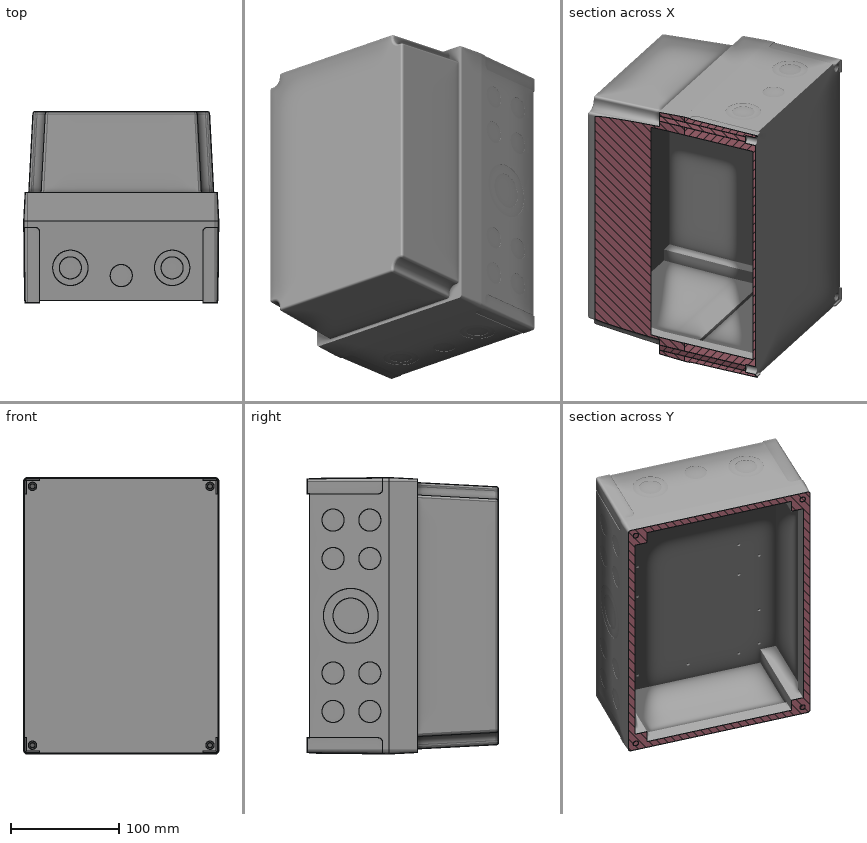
import cadquery as cq
import math

WIDTH = 180.0
HEIGHT = 255.0
DEPTH = 176.5
WALL = 3.0
CORNER_RADIUS = 3.5

BACK_Y = 2.0
JOINT_Y = 75.8
BASE_DRAFT = 0.63

FOOT_LENGTH_X = 14.8
FOOT_LENGTH_Z = 15.0
FOOT_TOP_Y = 69.6
FOOT_RECESS = 0.5
FOOT_LIP = 1.5
FOOT_ROUND = 4.0

COLLAR_Y = 102.0
LID_DRAFT = 3.0
DOME_STEP = 3.3
NOTCH_SIZE = 11.5
NOTCH_FILLET = 7.7
NOTCH_EDGE_FILLET = 2.3
FRONT_FILLET = 2.3

SCREW_X = 82.0
SCREW_Z = 119.5
SCREW_RADIUS = 2.3
COUNTERBORE_RADIUS = 3.8
COUNTERBORE_DEPTH = 10.2

SMALL_KNOCKOUT = 10.2
MEDIUM_KNOCKOUT = 16.3
LARGE_KNOCKOUT = 25.3
KNOCKOUT_DEPTH = 0.3
END_PAIR_X = 47.0
END_PAIR_Y = 32.5
END_SINGLE_Y = 25.3
SIDE_ROWS_Y = (24.0, 58.0)
SIDE_COLUMNS_Z = (52.8, 88.3)
SIDE_LARGE_Y = 40.3

FIXING_RADIUS = 1.5
FIXING_SKIN = 1.0
FIXING_INNER_X = 49.7
FIXING_INNER_Z = (17.0, 107.7)
FIXING_OUTER_X = 69.6
FIXING_OUTER_Z = (0.0, 62.8, 101.0)
FIXING_MIDDLE_Z = 107.5

HALF_X = WIDTH / 2
HALF_Z = HEIGHT / 2
BACK_INSET = JOINT_Y * math.tan(math.radians(BASE_DRAFT))
LID_SLOPE = math.tan(math.radians(LID_DRAFT))
DOME_HEIGHT = DEPTH - COLLAR_Y
DOME_INSET = LID_SLOPE * (COLLAR_Y - JOINT_Y) + DOME_STEP
DOME_X = HALF_X - DOME_INSET
DOME_Z = HALF_Z - DOME_INSET
FRONT_SHRINK = LID_SLOPE * DOME_HEIGHT
NOTCH_X = DOME_X - NOTCH_SIZE
NOTCH_Z = DOME_Z - NOTCH_SIZE
MARGIN = 2.5

SIDES = (-1, 1)
CORNERS = [(side_x, side_z) for side_x in SIDES for side_z in SIDES]


def drafted_block(y_start, y_end, half_x, half_z, draft):
    """Rectangular block from y_start to y_end that gets smaller with the draft."""
    direction = 1 if y_end > y_start else -1
    plane = cq.Plane((0, y_start, 0), xDir=(1, 0, 0), normal=(0, direction, 0))
    return cq.Workplane(plane).rect(2 * half_x, 2 * half_z).extrude(abs(y_end - y_start), taper=draft)


def rounded_block(y_start, y_end, inset, draft):
    """Drafted block with the enclosure's outline and round corners, moved in by the inset."""
    direction = 1 if y_end > y_start else -1
    plane = cq.Plane((0, y_start, 0), xDir=(1, 0, 0), normal=(0, direction, 0))
    outline = cq.Sketch().rect(WIDTH - 2 * inset, HEIGHT - 2 * inset).vertices().fillet(CORNER_RADIUS - inset)
    return cq.Workplane(plane).placeSketch(outline).extrude(abs(y_end - y_start), taper=draft)


def box_between(x_range, y_range, z_range):
    """Box that spans three (low, high) ranges."""
    sizes = [high - low for low, high in (x_range, y_range, z_range)]
    return cq.Workplane("XY").box(*sizes, centered=False).translate((x_range[0], y_range[0], z_range[0]))


def cylinder(radius, start, direction, length):
    solid = cq.Solid.makeCylinder(radius, length, cq.Vector(*start), cq.Vector(*direction))
    return cq.Workplane(solid)


def corner_copies(shape):
    """The shape at the (+X, +Z) corner and its mirror images at the other three."""
    pair = [shape, shape.mirror("YZ")]
    return pair + [half.mirror("XY") for half in pair]


def wall_skin(depth):
    """Outer layer of the base's side walls down to the depth."""
    return rounded_block(JOINT_Y, 0, 0, BASE_DRAFT).cut(rounded_block(JOINT_Y, 0, depth, BASE_DRAFT))


def cut_back(base):
    """Lower the back to BACK_Y and leave only an L-shaped lip at each corner."""
    y_range = (-MARGIN, BACK_Y)
    foot_x = HALF_X - FOOT_LENGTH_X
    foot_z = HALF_Z - FOOT_LENGTH_Z
    lip_inset = BACK_INSET + FOOT_RECESS + FOOT_LIP
    lip_x = HALF_X - lip_inset
    lip_z = HALF_Z - lip_inset
    for half_x, half_z in ((lip_x, lip_z), (foot_x, HALF_Z), (HALF_X, foot_z)):
        base = base.cut(box_between((-half_x, half_x), y_range, (-half_z, half_z)))
    return base


def cut_foot_pads(base):
    """Sink the skin of each corner, with a round at the end of each pad."""
    skin = wall_skin(FOOT_RECESS)
    pad = box_between(
        (HALF_X - FOOT_LENGTH_X, HALF_X + MARGIN),
        (-MARGIN, FOOT_TOP_Y),
        (HALF_Z - FOOT_LENGTH_Z, HALF_Z + MARGIN),
    )
    pad = pad.faces(">Y").edges("<X or <Z").fillet(FOOT_ROUND)
    for copy in corner_copies(pad):
        base = base.cut(skin.intersect(copy))
    return base


def base_cavity():
    """Inside of the base, which leaves a screw column in each corner."""
    inset = BACK_INSET + WALL
    half_x = HALF_X - inset
    half_z = HALF_Z - inset
    floor_y = BACK_Y + WALL
    cavity = box_between((-half_x, half_x), (floor_y, JOINT_Y), (-half_z, half_z))
    column = box_between((NOTCH_X - WALL, HALF_X), (floor_y, JOINT_Y), (NOTCH_Z - WALL, HALF_Z))
    for copy in corner_copies(column):
        cavity = cavity.cut(copy)
    return cavity


def cut_knockout(base, radius, center, direction, depth):
    """Round recess in one wall, around an axis that runs outwards through the center."""
    tool = cylinder(radius, center, direction, HEIGHT)
    return base.cut(wall_skin(depth).intersect(tool))


def cut_stepped_knockout(base, radius, inner_radius, center, direction):
    base = cut_knockout(base, radius, center, direction, KNOCKOUT_DEPTH)
    return cut_knockout(base, inner_radius, center, direction, 2 * KNOCKOUT_DEPTH)


def cut_end_knockouts(base):
    """Knockouts in the walls at -Z and +Z."""
    for side in SIDES:
        outwards = (0, 0, side)
        base = cut_knockout(base, SMALL_KNOCKOUT, (0, END_SINGLE_Y, 0), outwards, KNOCKOUT_DEPTH)
        for x in (-END_PAIR_X, END_PAIR_X):
            base = cut_stepped_knockout(base, MEDIUM_KNOCKOUT, SMALL_KNOCKOUT, (x, END_PAIR_Y, 0), outwards)
    return base


def cut_side_knockouts(base):
    """Knockouts in the walls at -X and +X."""
    for side in SIDES:
        outwards = (side, 0, 0)
        base = cut_stepped_knockout(base, LARGE_KNOCKOUT, MEDIUM_KNOCKOUT, (0, SIDE_LARGE_Y, 0), outwards)
        for y in SIDE_ROWS_Y:
            for z in SIDE_COLUMNS_Z:
                for center in ((0, y, z), (0, y, -z)):
                    base = cut_knockout(base, SMALL_KNOCKOUT, center, outwards, KNOCKOUT_DEPTH)
    return base


def cut_fixing_holes(base):
    """Blind holes in the floor, in a pattern symmetric about both middle planes."""
    places = {(0.0, side_z * FIXING_MIDDLE_Z) for side_z in SIDES}
    for side_x, side_z in CORNERS:
        places.update((side_x * FIXING_INNER_X, side_z * z) for z in FIXING_INNER_Z)
        places.update((side_x * FIXING_OUTER_X, side_z * z) for z in FIXING_OUTER_Z)
    for x, z in places:
        base = base.cut(cylinder(FIXING_RADIUS, (x, BACK_Y + FIXING_SKIN, z), (0, 1, 0), WALL))
    return base


def make_base():
    base = rounded_block(JOINT_Y, 0, 0, BASE_DRAFT)
    base = cut_back(base)
    base = cut_foot_pads(base)
    base = cut_end_knockouts(base)
    base = cut_side_knockouts(base)
    base = base.cut(base_cavity())
    base = cut_fixing_holes(base)
    for side_x, side_z in CORNERS:
        start = (side_x * SCREW_X, 0, side_z * SCREW_Z)
        base = base.cut(cylinder(COUNTERBORE_RADIUS, start, (0, 1, 0), BACK_Y + COUNTERBORE_DEPTH))
    return base


def sharp_dome(inset):
    """Drafted dome with a notch in each corner and sharp edges, all side walls moved in by the inset."""
    dome = drafted_block(COLLAR_Y, DEPTH, DOME_X - inset, DOME_Z - inset, LID_DRAFT)
    cutter_half = 2 * NOTCH_SIZE
    center_shift = cutter_half - inset - FRONT_SHRINK
    cutter = drafted_block(DEPTH, COLLAR_Y, cutter_half, cutter_half, LID_DRAFT)
    cutter = cutter.translate((NOTCH_X + center_shift, 0, NOTCH_Z + center_shift))
    for copy in corner_copies(cutter):
        dome = dome.cut(copy)
    return dome


def make_dome():
    """Dome with the notches and all its outer edges rounded."""
    dome = sharp_dome(0)
    inner_edges = []
    outer_edges = []
    for edge in dome.edges("not(#Y)").vals():
        center = edge.Center()
        is_inner = abs(center.x) < NOTCH_X and abs(center.z) < NOTCH_Z
        if is_inner:
            inner_edges.append(edge)
        else:
            outer_edges.append(edge)
    dome = dome.newObject(inner_edges).fillet(NOTCH_FILLET)
    dome = dome.newObject(outer_edges).fillet(NOTCH_EDGE_FILLET)
    return dome.faces(">Y").edges().fillet(FRONT_FILLET)


def lid_cavity():
    """Inside of the lid: parallel to the dome's walls, and straight through the collar."""
    front = box_between((-HALF_X, HALF_X), (DEPTH - WALL, DEPTH), (-HALF_Z, HALF_Z))
    inside_dome = sharp_dome(WALL).cut(front)
    return inside_dome.faces("<Y").wires().toPending().workplane().extrude(COLLAR_Y - JOINT_Y)


def make_lid():
    collar = rounded_block(JOINT_Y, COLLAR_Y, 0, LID_DRAFT)
    return collar.union(make_dome()).cut(lid_cavity())


def make_screw(side_x, side_z):
    """Plain screw from the floor of its counterbore to the front of the collar."""
    start_y = BACK_Y + COUNTERBORE_DEPTH
    start = (side_x * SCREW_X, start_y, side_z * SCREW_Z)
    return cylinder(SCREW_RADIUS, start, (0, 1, 0), COLLAR_Y - start_y)


base = make_base()
lid = make_lid()
screws = [make_screw(side_x, side_z) for side_x, side_z in CORNERS]
for screw in screws:
    base = base.cut(screw)
    lid = lid.cut(screw)

result = cq.Compound.makeCompound([base.val(), lid.val(), *[screw.val() for screw in screws]])